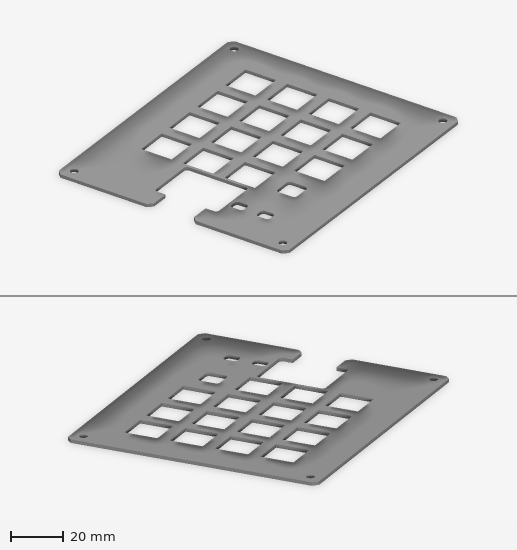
import cadquery as cq

plate_width = 106.3
plate_length = 120.0
plate_thickness = 1.5
corner_chamfer = 2.0

mount_hole_diameter = 3.4
mount_hole_inset = 5.0

key_size = 14.0
key_pitch = 19.2
key_columns = 4
key_rows = 4
key_grid_center_x = -0.18
key_grid_center_y = 8.9

knob_opening_size = 9.0
knob_center_x = 28.8

inner_corner_radius = 1.5

window_width = 6.0
window_height = 4.8
window_pitch = 12.0
window_pair_center_x = 25.0
window_center_y = -41.4

bay_width = 29.0
bay_length = 21.8
neck_width = 18.5
neck_length = 10.0


def key_center(column, row):
    """Centre of a grid cell, counting columns from -X and rows from +Y."""
    x = key_grid_center_x + (column - (key_columns - 1) / 2) * key_pitch
    y = key_grid_center_y - (row - (key_rows - 1) / 2) * key_pitch
    return x, y


def through_cutter(width, length, centers):
    """Rectangular blocks as tall as the plate, one at each centre."""
    return cq.Workplane("XY").pushPoints(centers).rect(width, length).extrude(plate_thickness)


def rounded_cutter(width, length, centers):
    """Rectangular blocks with rounded vertical edges."""
    return through_cutter(width, length, centers).edges("|Z").fillet(inner_corner_radius)


def make_plate_with_neck():
    """Plate slit by the neck, with the corners chamfered on both end edges."""
    plate = through_cutter(plate_width, plate_length, [(0, 0)])
    neck_center_y = (neck_length - plate_length) / 2
    plate = plate.cut(through_cutter(neck_width, neck_length, [(0, neck_center_y)]))
    plate = plate.faces("<Y").edges("|Z").chamfer(corner_chamfer)
    return plate.faces(">Y").edges("|Z").chamfer(corner_chamfer)


def make_bay():
    bay_center_y = -plate_length / 2 + neck_length + bay_length / 2
    return rounded_cutter(bay_width, bay_length, [(0, bay_center_y)])


def make_key_openings():
    """Key openings in every grid cell but the last, which holds the knob opening."""
    cells = [(column, row) for row in range(key_rows) for column in range(key_columns)]
    knob_cell = cells.pop()
    knob_center = (knob_center_x, key_center(*knob_cell)[1])
    keys = through_cutter(key_size, key_size, [key_center(*cell) for cell in cells])
    knob = rounded_cutter(knob_opening_size, knob_opening_size, [knob_center])
    return keys.add(knob).combine()


def make_windows():
    centers = [
        (window_pair_center_x + side * window_pitch / 2, window_center_y) for side in (-1, 1)
    ]
    return rounded_cutter(window_width, window_height, centers)


def make_mount_holes():
    spacing_x = plate_width - 2 * mount_hole_inset
    spacing_y = plate_length - 2 * mount_hole_inset
    return (
        cq.Workplane("XY")
        .rarray(spacing_x, spacing_y, 2, 2)
        .circle(mount_hole_diameter / 2)
        .extrude(plate_thickness)
    )


result = (
    make_plate_with_neck()
    .cut(make_bay())
    .cut(make_key_openings())
    .cut(make_windows())
    .cut(make_mount_holes())
)